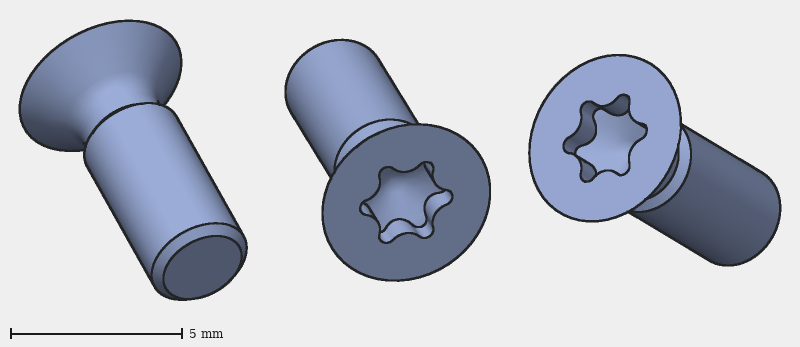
import cadquery as cq
import math

LENGTH = 8.0
HEAD_RADIUS = 5.1 / 2
SHANK_RADIUS = 3.0 / 2
NECK_RADIUS = 2.47 / 2
NECK_START = 1.66
NECK_END = 2.18
CHAMFER = SHANK_RADIUS - NECK_RADIUS

LOBE_COUNT = 6
RECESS_TIP_RADIUS = 1.4
RECESS_ROOT_RADIUS = 1.01
LOBE_RADIUS = 0.25
RECESS_ROOT_DEPTH = 0.92
FLOOR_HALF_ANGLE = math.radians(60)


def make_body():
    """Revolve the head cone, underhead fillet, neck and shank about X."""
    turn = math.radians(45)
    drop_at_neck = HEAD_RADIUS - NECK_START - NECK_RADIUS
    fillet_radius = drop_at_neck / (1 - math.cos(turn) - math.sin(turn))
    fillet_start = NECK_START - fillet_radius * math.sin(turn)
    arc_middle = (
        NECK_START - fillet_radius * math.sin(turn / 2),
        NECK_RADIUS + fillet_radius * (1 - math.cos(turn / 2)),
    )
    return (
        cq.Workplane("XY")
        .lineTo(0, HEAD_RADIUS)
        .lineTo(fillet_start, HEAD_RADIUS - fillet_start)
        .threePointArc(arc_middle, (NECK_START, NECK_RADIUS))
        .lineTo(NECK_END, NECK_RADIUS)
        .lineTo(NECK_END + CHAMFER, SHANK_RADIUS)
        .lineTo(LENGTH - CHAMFER, SHANK_RADIUS)
        .lineTo(LENGTH, SHANK_RADIUS - CHAMFER)
        .lineTo(LENGTH, 0)
        .close()
        .revolve(360, (0, 0, 0), (1, 0, 0))
    )


def polar(radius, angle):
    return (radius * math.cos(angle), radius * math.sin(angle))


def make_recess():
    """Six-lobe prism trimmed by the cone that forms its floor."""
    pitch = 2 * math.pi / LOBE_COUNT
    lobe_center = RECESS_TIP_RADIUS - LOBE_RADIUS
    cos_half = math.cos(pitch / 2)
    root_radius = (
        lobe_center**2 + RECESS_ROOT_RADIUS**2 - LOBE_RADIUS**2
        - 2 * lobe_center * RECESS_ROOT_RADIUS * cos_half
    ) / (2 * (LOBE_RADIUS - RECESS_ROOT_RADIUS + lobe_center * cos_half))
    root_center = polar(RECESS_ROOT_RADIUS + root_radius, pitch / 2)

    share = LOBE_RADIUS / (LOBE_RADIUS + root_radius)
    tangent_x = lobe_center + share * (root_center[0] - lobe_center)
    tangent_y = share * root_center[1]
    tangent_radius = math.hypot(tangent_x, tangent_y)
    tangent_angle = math.atan2(tangent_y, tangent_x)

    apex_depth = RECESS_ROOT_DEPTH + RECESS_ROOT_RADIUS / math.tan(FLOOR_HALF_ANGLE)
    outline = cq.Workplane("YZ").moveTo(*polar(tangent_radius, -tangent_angle))
    for index in range(LOBE_COUNT):
        angle = index * pitch
        outline = outline.threePointArc(
            polar(RECESS_TIP_RADIUS, angle),
            polar(tangent_radius, angle + tangent_angle),
        ).threePointArc(
            polar(RECESS_ROOT_RADIUS, angle + pitch / 2),
            polar(tangent_radius, angle + pitch - tangent_angle),
        )
    prism = outline.close().extrude(apex_depth)

    cone = (
        cq.Workplane("XY")
        .lineTo(0, apex_depth * math.tan(FLOOR_HALF_ANGLE))
        .lineTo(apex_depth, 0)
        .close()
        .revolve(360, (0, 0, 0), (1, 0, 0))
    )
    return prism.intersect(cone)


result = make_body().cut(make_recess())